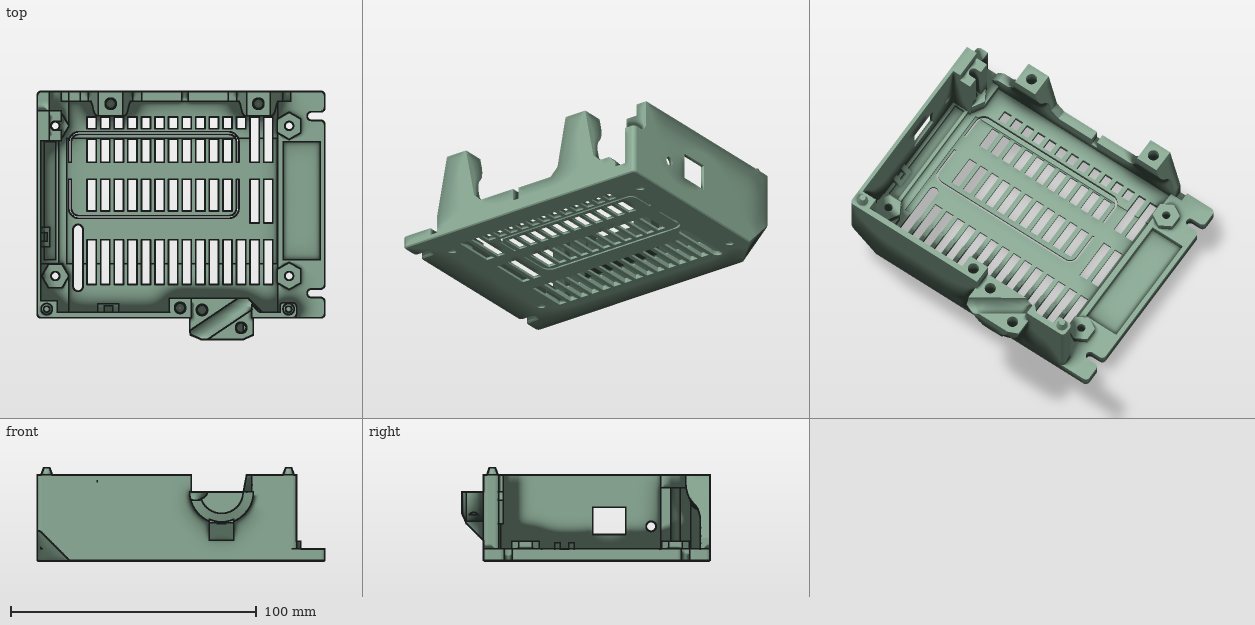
import cadquery as cq
import math

LENGTH = 117.0
DEPTH = 92.2
WALL_TOP = 35.1
EDGE_RADIUS = 1.8
BOTTOM_CHAMFER = 0.5

RECESS_LEVEL = 1.0
FLOOR = 2.0
STRIP_LEVEL = 4.0
PLATFORM = 5.0
HEX_TOP = 8.2

LEFT_WALL = 1.5
FRONT_WALL = 2.3
BACK_WALL = 4.0
FRONT_WALL_END = 105.5
BACK_INNER = DEPTH - BACK_WALL
CORNER_CUT = 13.5

LEFT_EDGE = 12.9
RIGHT_EDGE = 97.9
FRONT_LEDGE_EDGE = 10.3
STRIP_EDGE = 8.8
STRIP_FRONT = 22.1
STRIP_BACK = 72.2
POCKET_Y = (23.8, 71.7)
LEFT_POCKET_X = (2.8, 7.5)
RIGHT_POCKET_X = (100.2, 115.1)
RECESS_X = (11.9, 97.6)
RECESS_BACK = 73.1

MOUNT_X = (7.4, 102.5)
MOUNT_Y = (17.1, 78.2)
HEX_DIAMETER = 11.1
MOUNT_HOLE = 3.4
DRIVER_CLEARANCE = 3.7

EDGE_SLOT_Y = (10.1, 82.1)
EDGE_SLOT_WIDTH = 3.4
EDGE_SLOT_START = 109.9

VENT_COLUMNS = 14
VENT_WIDTH = 3.6
VENT_START = 20.4
LAST_VENT_START = 92.2
VENT_PITCH = (LAST_VENT_START - VENT_START) / (VENT_COLUMNS - 1)
LAST_PANEL_COLUMN = 10
FIRST_LONG_COLUMN = 12
FRONT_VENTS = (13.7, 31.8)
PANEL_VENTS = (43.5, 72.8)
BACK_VENTS = (77.0, 81.7)
LONG_VENT_FRONT = 38.7
OBLONG_CENTRE = (16.6, 24.5)
OBLONG_LENGTH = 27.0
OBLONG_WIDTH = 4.0
PANEL = (12.9, 40.6, 82.0, 75.7)
PANEL_RADIUS = 4.1
SLIT_WIDTH = 0.9
BRIDGE_FRONT = 56.4
BRIDGE_BACK = 63.4

BLOCK_WALL = 4.9
BLOCK_EDGE = 9.8
BLOCK_BACK = 84.2
BLOCK_TOP = 30.0
NOTCH_LEVEL = 21.1
NOTCH_RADIUS = 4.0

WINDOW_Y = (44.5, 57.8)
WINDOW_Z = (10.9, 21.9)
WALL_HOLE_CENTRE = (68.2, 14.2)
WALL_HOLE = 4.0

RAMP_RISE = 3.5
FRONT_RAMP_START = 24.7
FRONT_RAMP_LENGTH = 8.5
LEFT_RAMP_START = 29.0
LEFT_RAMP_LENGTH = 8.0
RAMP_NOTCH = 3.4
RAMP_NOTCH_DEPTH = 2.6

POST_X = ((24.9, 34.9), (85.2, 94.8))
POST_FRONT = 82.4
POST_FLARE = 4.1
POST_HOLE_Y = 87.2
LEAN_START = (BACK_INNER, 16.5)
LOWER_ARC_MIDDLE = (87.8, 19.7)
LOWER_ARC_END = (86.5, 22.2)
UPPER_ARC_START = (84.2, 24.8)
UPPER_ARC_MIDDLE = (83.0, 27.6)
UPPER_ARC_END = (POST_FRONT, 31.9)
FOOT_CHAMFER = 3.5
BACK_LOW_TOP = 10.1
POST_FOOT = BACK_LOW_TOP + FOOT_CHAMFER
BACK_HIGH_TOP = 10.3
LONG_FOOT_END = 99.8
LONG_FOOT_LEVEL = 9.4
BACK_GAP_END = 103.2
BACK_SLOT = (58.7, 61.4)
BACK_SLOT_FLOOR = 3.2
BACK_SLOT_RADIUS = 1.2
SCREW_HOLE = 4.6
SCREW_HOLE_BOTTOM = 4.0
SCREW_DEPTH = 9.4

CLAMP_X = 75.0
CLAMP_TOP = 28.2
CLAMP_RADIUS = 13.0
CLAMP_REACH = 8.8
CLAMP_BEVEL_RADIAL = 4.2
CLAMP_BEVEL_AXIAL = 1.9
CLAMP_GAP = (62.7, 87.3)
CLAMP_BACK = 8.0
BOSS_LEFT = 53.8
BACKING_END = 91.5
BRACE = 3.2
CLAMP_BOTTOM = CLAMP_TOP - CLAMP_RADIUS
GUSSET_X = (70.0, 80.0)
GUSSET_BOTTOM = 8.4
GUSSET_RUN = 7.3
GROOVE_RADIUS = 3.5
GROOVE_START = (62.2, -9.2)
GROOVE_ANGLE = 33.9
BOSS_HOLE = (58.1, 4.1)
CLAMP_HOLES = ((67.0, 3.3), (83.0, -4.0))

PIN_BASE = 4.6
PIN_TIP = 2.5
PIN_HEIGHT = 2.9
PIN_Y = 3.6
PIN_X = (3.9, 102.3)
LEFT_PIN_BLOCK = (8.1, 7.0)
RIGHT_PIN_BLOCK = 98.9
RIGHT_PIN_BLOCK_DEPTH = 6.2
PIN_BLOCK_INNER_RADIUS = 1.2


def block(x0, y0, z0, x1, y1, z1):
    """Box between two opposite corners."""
    return cq.Workplane("XY").box(x1 - x0, y1 - y0, z1 - z0, centered=False).translate((x0, y0, z0))


def cylinder(x, y, z0, diameter, height):
    """Upright cylinder standing at height z0."""
    return cq.Workplane("XY", origin=(x, y, z0)).circle(diameter / 2).extrude(height)


def screw_hole(x, y, top):
    """Blind screw hole, slightly tapered towards its bottom."""
    taper = math.degrees(math.atan((SCREW_HOLE - SCREW_HOLE_BOTTOM) / 2 / SCREW_DEPTH))
    mouth = cq.Workplane("XY", origin=(x, y, top)).circle(SCREW_HOLE / 2)
    return mouth.extrude(-SCREW_DEPTH, taper=taper)


def prism(plane, origin, points, length):
    """Straight prism over a closed polygon."""
    return cq.Workplane(plane, origin=origin).polyline(points).close().extrude(length)


def make_base():
    """Floor plate with the raised right platform and its two open edge slots."""
    plate = block(0, 0, 0, LENGTH, DEPTH, PLATFORM)
    slot_length = 2 * (LENGTH - EDGE_SLOT_START)
    for y in EDGE_SLOT_Y:
        slot = cq.Workplane("XY", origin=(LENGTH, y, 0)).slot2D(slot_length, EDGE_SLOT_WIDTH)
        plate = plate.cut(slot.extrude(PLATFORM))
    plate = plate.edges("|Z and >X").fillet(EDGE_RADIUS)
    plate = plate.edges("|Z and <X").fillet(EDGE_RADIUS)
    plate = plate.faces("<Z").edges().chamfer(BOTTOM_CHAMFER)

    tray = block(LEFT_WALL, FRONT_WALL, FLOOR, RIGHT_EDGE, BACK_INNER, PLATFORM)
    front_ledge = block(0, 0, 0, LEFT_EDGE, MOUNT_Y[0], PLATFORM)
    front_ledge = front_ledge.union(block(0, 0, 0, FRONT_LEDGE_EDGE, STRIP_FRONT, PLATFORM))
    strip = block(0, STRIP_FRONT, 0, STRIP_EDGE, STRIP_BACK, STRIP_LEVEL)
    back_ledge = block(0, MOUNT_Y[1], 0, LEFT_EDGE, DEPTH, PLATFORM)
    back_ledge = back_ledge.union(block(0, STRIP_BACK, 0, BLOCK_EDGE, DEPTH, PLATFORM))
    tray = tray.cut(front_ledge).cut(strip).cut(back_ledge)
    plate = plate.cut(tray)

    recess = block(RECESS_X[0], STRIP_FRONT, RECESS_LEVEL, RECESS_X[1], RECESS_BACK, PLATFORM)
    plate = plate.cut(recess)
    for left, right in (LEFT_POCKET_X, RIGHT_POCKET_X):
        plate = plate.cut(block(left, POCKET_Y[0], FLOOR, right, POCKET_Y[1], PLATFORM))
    back_gap = block(POST_X[1][1], BACK_INNER, FLOOR, BACK_GAP_END, DEPTH, PLATFORM)
    return plate.cut(back_gap)


def make_left_wall():
    """Left wall with its thick rear end, stepped down at the back corner."""
    wall = block(0, 0, BOTTOM_CHAMFER, LEFT_WALL, DEPTH, WALL_TOP)
    wall = wall.union(block(0, STRIP_BACK, BOTTOM_CHAMFER, BLOCK_WALL, DEPTH, WALL_TOP))
    step = block(0, BLOCK_BACK, NOTCH_LEVEL, BLOCK_WALL, DEPTH, WALL_TOP)
    step = step.edges("|X and <Y and <Z").fillet(NOTCH_RADIUS)
    corner = block(LEFT_WALL, STRIP_BACK, PLATFORM, BLOCK_EDGE, BLOCK_BACK, BLOCK_TOP)
    return wall.cut(step).union(corner)


def make_front_wall():
    """Front wall with pin blocks, screw boss, clamp backing and the gap over the clamp."""
    wall = block(0, 0, BOTTOM_CHAMFER, FRONT_WALL_END, FRONT_WALL, WALL_TOP)
    wall = wall.union(block(0, 0, BOTTOM_CHAMFER, *LEFT_PIN_BLOCK, WALL_TOP))
    wall = wall.cut(block(RIGHT_PIN_BLOCK, 0, 0, FRONT_WALL_END, FRONT_WALL, WALL_TOP))
    end = block(RIGHT_PIN_BLOCK, 0, PLATFORM, FRONT_WALL_END, RIGHT_PIN_BLOCK_DEPTH, WALL_TOP)
    end = end.edges("|Z and >X").fillet(EDGE_RADIUS)
    end = end.edges("|Z and <X and >Y").fillet(PIN_BLOCK_INNER_RADIUS)
    wall = wall.union(end)
    wall = wall.union(block(BOSS_LEFT, 0, CLAMP_BOTTOM, CLAMP_GAP[0], CLAMP_BACK, WALL_TOP))

    backing = [
        (CLAMP_GAP[0], 0),
        (CLAMP_GAP[0], CLAMP_BACK),
        (BACKING_END - (CLAMP_BACK - FRONT_WALL), CLAMP_BACK),
        (BACKING_END, FRONT_WALL),
        (BACKING_END, 0),
    ]
    wall = wall.union(prism("XY", (0, 0, CLAMP_BOTTOM), backing, CLAMP_TOP - CLAMP_BOTTOM))
    brace = [
        (CLAMP_GAP[1], FRONT_WALL),
        (CLAMP_GAP[1] + BRACE, FRONT_WALL),
        (CLAMP_GAP[1], FRONT_WALL + BRACE),
    ]
    wall = wall.union(prism("XY", (0, 0, CLAMP_TOP), brace, WALL_TOP - CLAMP_TOP))
    return wall.cut(block(CLAMP_GAP[0], 0, CLAMP_TOP, CLAMP_GAP[1], CLAMP_BACK, WALL_TOP))


def make_back_wall():
    """Low back wall, open beside the corner block, with a round-bottomed slot."""
    outline = [
        (BLOCK_EDGE, BOTTOM_CHAMFER),
        (BLOCK_EDGE, BACK_HIGH_TOP - (LEFT_EDGE - BLOCK_EDGE)),
        (LEFT_EDGE, BACK_HIGH_TOP),
        (POST_X[1][0], BACK_HIGH_TOP),
        (POST_X[1][0], BOTTOM_CHAMFER),
    ]
    wall = prism("XZ", (0, DEPTH, 0), outline, BACK_WALL)
    left_step = block(POST_X[0][1], BACK_INNER, BACK_LOW_TOP, BACK_SLOT[1], DEPTH, WALL_TOP)
    slot = block(BACK_SLOT[0], BACK_INNER, BACK_SLOT_FLOOR, BACK_SLOT[1], DEPTH, WALL_TOP)
    slot = slot.edges("|Y and <Z").fillet(BACK_SLOT_RADIUS)
    return wall.cut(left_step).cut(slot)


def make_post(left, right, right_foot):
    """Flared post leaning inward from the back wall, with a screw hole in its top."""
    outline = [
        (left, WALL_TOP),
        (left - POST_FLARE, POST_FOOT),
        (left - POST_FLARE - FOOT_CHAMFER, BACK_LOW_TOP),
        (left - POST_FLARE, FLOOR),
        (right + POST_FLARE, FLOOR),
    ]
    outline += right_foot + [(right, WALL_TOP)]
    reach = DEPTH - POST_FRONT
    body = prism("XZ", (0, DEPTH, 0), outline, reach)
    side = (
        cq.Workplane("YZ")
        .moveTo(DEPTH, FLOOR)
        .lineTo(BACK_INNER, FLOOR)
        .lineTo(*LEAN_START)
        .threePointArc(LOWER_ARC_MIDDLE, LOWER_ARC_END)
        .lineTo(*UPPER_ARC_START)
        .threePointArc(UPPER_ARC_MIDDLE, UPPER_ARC_END)
        .lineTo(POST_FRONT, WALL_TOP)
        .lineTo(DEPTH, WALL_TOP)
        .close()
        .extrude(LENGTH)
    )
    return body.intersect(side).cut(screw_hole((left + right) / 2, POST_HOLE_Y, WALL_TOP))


def make_posts():
    """Both back posts; only the left one has a chamfered foot on both sides."""
    left, right = POST_X
    chamfered_foot = [
        (left[1] + POST_FLARE + FOOT_CHAMFER, BACK_LOW_TOP),
        (left[1] + POST_FLARE, POST_FOOT),
    ]
    long_foot = [(LONG_FOOT_END, FLOOR), (LONG_FOOT_END, LONG_FOOT_LEVEL)]
    return make_post(*left, chamfered_foot).union(make_post(*right, long_foot))


def make_clamp():
    """Bevelled half disc and its gusset on the outside of the front wall."""
    profile = [
        (0, FRONT_WALL),
        (CLAMP_RADIUS, FRONT_WALL),
        (CLAMP_RADIUS, CLAMP_BEVEL_AXIAL - CLAMP_REACH),
        (CLAMP_RADIUS - CLAMP_BEVEL_RADIAL, -CLAMP_REACH),
        (0, -CLAMP_REACH),
    ]
    disc = cq.Workplane("XY").polyline(profile).close().revolve(360, (0, 0, 0), (0, 1, 0))
    disc = disc.translate((CLAMP_X, 0, CLAMP_TOP))
    disc = disc.intersect(block(0, -CLAMP_REACH, 0, LENGTH, FRONT_WALL, CLAMP_TOP))
    side = [
        (FRONT_WALL, GUSSET_BOTTOM),
        (0, GUSSET_BOTTOM),
        (-GUSSET_RUN, GUSSET_BOTTOM + GUSSET_RUN),
        (-GUSSET_RUN, CLAMP_TOP - GROOVE_RADIUS),
        (FRONT_WALL, CLAMP_TOP - GROOVE_RADIUS),
    ]
    gusset = prism("YZ", (GUSSET_X[0], 0, 0), side, GUSSET_X[1] - GUSSET_X[0])
    return disc.union(gusset)


def cut_clamp_details(body):
    """Diagonal cable groove and three screw holes."""
    angle = math.radians(GROOVE_ANGLE)
    run = (CLAMP_BACK - GROOVE_START[1] + GROOVE_RADIUS) / math.sin(angle)
    axis = cq.Vector(math.cos(angle), math.sin(angle), 0)
    start = cq.Vector(*GROOVE_START, CLAMP_TOP) - axis * GROOVE_RADIUS
    groove = cq.Solid.makeCylinder(GROOVE_RADIUS, run + GROOVE_RADIUS, start, axis)
    body = body.cut(cq.Workplane(groove))
    body = body.cut(screw_hole(*BOSS_HOLE, WALL_TOP))
    for x, y in CLAMP_HOLES:
        body = body.cut(screw_hole(x, y, CLAMP_TOP))
    return body


def add_mounts(body):
    """Hexagonal standoffs; the rear left one has driver clearance in the corner block."""
    x, y = MOUNT_X[0], MOUNT_Y[1]
    body = body.cut(cylinder(x, y, HEX_TOP, DRIVER_CLEARANCE, WALL_TOP))
    half = DRIVER_CLEARANCE / 2
    body = body.cut(block(x, y - half, HEX_TOP, BLOCK_EDGE, y + half, WALL_TOP))
    for x, turn in zip(MOUNT_X, (0, 30)):
        for y in MOUNT_Y:
            standoff = cq.Workplane("XY").polygon(6, HEX_DIAMETER).extrude(HEX_TOP - RECESS_LEVEL)
            standoff = standoff.rotate((0, 0, 0), (0, 0, 1), turn).translate((x, y, RECESS_LEVEL))
            body = body.union(standoff)
            body = body.cut(cylinder(x, y, 0, MOUNT_HOLE, HEX_TOP))
    return body


def make_ramp(length):
    """Sloped ramp along X from the origin, falling toward +Y, with a notch at its middle."""
    ramp = prism("YZ", (0, 0, 0), [(0, 0), (0, RAMP_RISE), (RAMP_RISE, 0)], length)
    start = (length - RAMP_NOTCH) / 2
    return ramp.cut(block(start, 0, 0, start + RAMP_NOTCH, RAMP_NOTCH_DEPTH, RAMP_RISE))


def add_ramps(body):
    """Small notched ramps at the foot of the front and left walls."""
    front = make_ramp(FRONT_RAMP_LENGTH).translate((FRONT_RAMP_START, FRONT_WALL, FLOOR))
    left = make_ramp(LEFT_RAMP_LENGTH).rotate((0, 0, 0), (0, 0, 1), -90)
    left = left.translate((LEFT_WALL, LEFT_RAMP_START + LEFT_RAMP_LENGTH, STRIP_LEVEL))
    return body.union(front).union(left)


def cut_vents(body):
    """Oblong slot and a grid of rectangular vents, longer in the columns beyond the panel."""
    oblong = cq.Workplane("XY", origin=(*OBLONG_CENTRE, 0))
    body = body.cut(oblong.slot2D(OBLONG_LENGTH, OBLONG_WIDTH, 90).extrude(FLOOR))
    for column in range(VENT_COLUMNS):
        rows = [FRONT_VENTS]
        if column <= LAST_PANEL_COLUMN:
            rows += [(PANEL_VENTS[0], BRIDGE_FRONT), (BRIDGE_BACK, PANEL_VENTS[1])]
        if column < FIRST_LONG_COLUMN:
            rows.append(BACK_VENTS)
        else:
            rows += [(LONG_VENT_FRONT, BRIDGE_FRONT), (BRIDGE_BACK, BACK_VENTS[1])]
        x = VENT_START + column * VENT_PITCH
        for front, back in rows:
            body = body.cut(block(x, front, 0, x + VENT_WIDTH, back, FLOOR))
    return body


def cut_panel_slit(body):
    """Narrow slit around the drive panel, bridged on its two sides."""
    x0, y0, x1, y1 = PANEL
    outer = block(x0, y0, 0, x1, y1, FLOOR).edges("|Z").fillet(PANEL_RADIUS)
    inner = block(x0 + SLIT_WIDTH, y0 + SLIT_WIDTH, 0, x1 - SLIT_WIDTH, y1 - SLIT_WIDTH, FLOOR)
    inner = inner.edges("|Z").fillet(PANEL_RADIUS - SLIT_WIDTH)
    return body.cut(outer.cut(inner).cut(block(x0, BRIDGE_FRONT, 0, x1, BRIDGE_BACK, FLOOR)))


def cut_left_wall_openings(body):
    """Rectangular window and round hole through the left wall."""
    body = body.cut(block(0, WINDOW_Y[0], WINDOW_Z[0], LEFT_WALL, WINDOW_Y[1], WINDOW_Z[1]))
    hole = cq.Workplane("YZ", origin=(0, *WALL_HOLE_CENTRE)).circle(WALL_HOLE / 2).extrude(LEFT_WALL)
    return body.cut(hole)


def cut_front_corner(body):
    """Triangular facet across the front left bottom corner."""
    facet = cq.Plane(origin=(CORNER_CUT, 0, 0), xDir=(1, -1, 0), normal=(-1, -1, -1))
    return body.cut(cq.Workplane(facet).rect(4 * CORNER_CUT, 4 * CORNER_CUT).extrude(CORNER_CUT))


def add_pins(body):
    """Tapered locating pins on the front wall."""
    for x in PIN_X:
        profile = [(0, 0), (PIN_BASE / 2, 0), (PIN_TIP / 2, PIN_HEIGHT), (0, PIN_HEIGHT)]
        pin = cq.Workplane("XZ").polyline(profile).close().revolve(360, (0, 0, 0), (0, 1, 0))
        body = body.union(pin.translate((x, PIN_Y, WALL_TOP)))
    return body


body = make_base()
for piece in (make_left_wall(), make_front_wall(), make_back_wall(), make_posts()):
    body = body.union(piece)
envelope = block(0, 0, 0, LENGTH, DEPTH, WALL_TOP).edges("|Z and <X").fillet(EDGE_RADIUS)
body = body.intersect(envelope)
body = body.union(make_clamp())
body = cut_clamp_details(body)
body = add_mounts(body)
body = add_ramps(body)
body = cut_vents(body)
body = cut_panel_slit(body)
body = cut_left_wall_openings(body)
body = cut_front_corner(body)
result = add_pins(body)